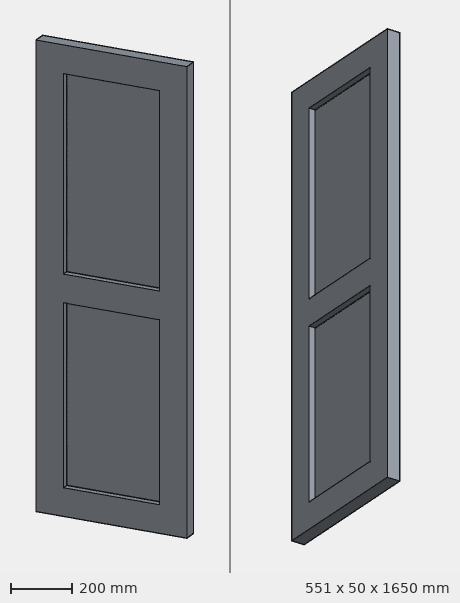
import cadquery as cq

door_width = 551.0
door_thickness = 50.0
door_height = 1650.0
member_width = 100.0

opening_width = door_width - 2 * member_width
lower_opening_height = 647.0
upper_opening_height = door_height - 3 * member_width - lower_opening_height
lower_opening_bottom = member_width
upper_opening_bottom = lower_opening_bottom + lower_opening_height + member_width
openings = [
    (lower_opening_bottom, lower_opening_height),
    (upper_opening_bottom, upper_opening_height),
]

panel_recess = 23.0
panel_thickness = door_thickness - 2 * panel_recess


def upright_slab(width, thickness, height, bottom):
    """Slab centred on X and Y, standing at the given bottom height."""
    slab = cq.Workplane("XY").box(width, thickness, height, centered=(True, True, False))
    return slab.translate((0, 0, bottom))


def make_frame():
    """Stiles and rails in one piece, with the openings cut right through."""
    frame = upright_slab(door_width, door_thickness, door_height, 0)
    for bottom, height in openings:
        frame = frame.cut(upright_slab(opening_width, door_thickness, height, bottom))
    return frame


def make_panel(bottom, height):
    """Panel filling one opening."""
    return upright_slab(opening_width, panel_thickness, height, bottom)


frame = make_frame()
panels = [make_panel(bottom, height) for bottom, height in openings]

result = cq.Compound.makeCompound([frame.val(), *[panel.val() for panel in panels]])